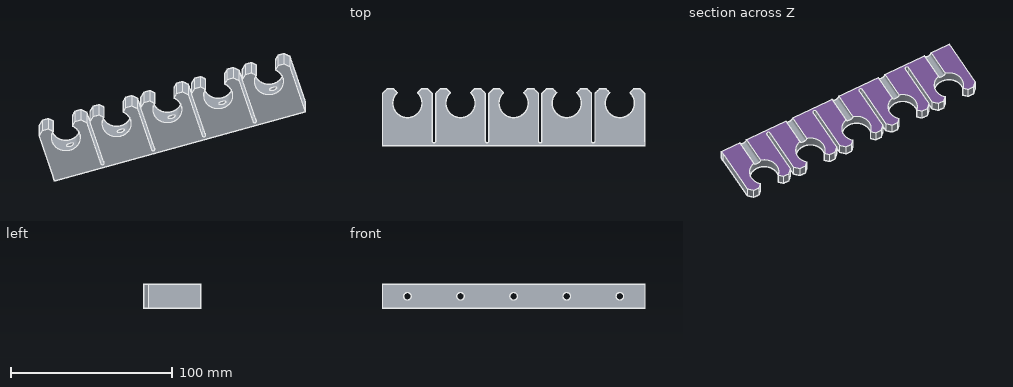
import cadquery as cq

length = 163.0
depth = 35.5
thickness = 15.0

clip_count = 5
slot_width = 2.0
end_skim = 0.2
pitch = (length - end_skim + slot_width) / clip_count
clip_width = pitch - slot_width
corner_chamfer = 3.0
slot_floor = 2.0

seat_diameter = 18.0
seat_center_y = 26.5
mouth_width = 17.3

hole_diameter = 4.5

clip_centers = [clip_width / 2 + i * pitch for i in range(clip_count)]
slot_centers = [(i + 1) * pitch - slot_width / 2 for i in range(clip_count)]


def prism(points):
    """Extrude a closed XY outline through the full thickness."""
    return cq.Workplane("XY").polyline(points).close().extrude(thickness)


def corner_cut(x, direction):
    """Triangle that chamfers a front corner of a clip, toward its middle."""
    return prism([
        (x, depth),
        (x + direction * corner_chamfer, depth),
        (x, depth - corner_chamfer),
    ])


def clip_seat(x):
    """Round seat opened to the front by a V-shaped mouth."""
    seat = (
        cq.Workplane("XY")
        .center(x, seat_center_y)
        .circle(seat_diameter / 2)
        .extrude(thickness)
    )
    half_mouth = mouth_width / 2
    mouth = prism([
        (x - half_mouth, depth),
        (x + half_mouth, depth),
        (x, depth - half_mouth),
    ])
    return seat.union(mouth)


def slot(x):
    """Round-bottomed gap on the +X side of a clip."""
    half_width = slot_width / 2
    arc_center_y = slot_floor + half_width
    return (
        cq.Workplane("XY")
        .moveTo(x - half_width, depth)
        .lineTo(x - half_width, arc_center_y)
        .threePointArc((x, slot_floor), (x + half_width, arc_center_y))
        .lineTo(x + half_width, depth)
        .close()
        .extrude(thickness)
    )


def screw_hole(x):
    """Hole along Y from the back face into the seat."""
    return (
        cq.Workplane("XZ")
        .center(x, thickness / 2)
        .circle(hole_diameter / 2)
        .extrude(-seat_center_y)
    )


body = cq.Workplane("XY").box(length, depth, thickness, centered=False)

for center in clip_centers:
    body = body.cut(corner_cut(center - clip_width / 2, 1))
    body = body.cut(corner_cut(center + clip_width / 2, -1))
    body = body.cut(clip_seat(center))
    body = body.cut(screw_hole(center))

for center in slot_centers:
    body = body.cut(slot(center))

result = body